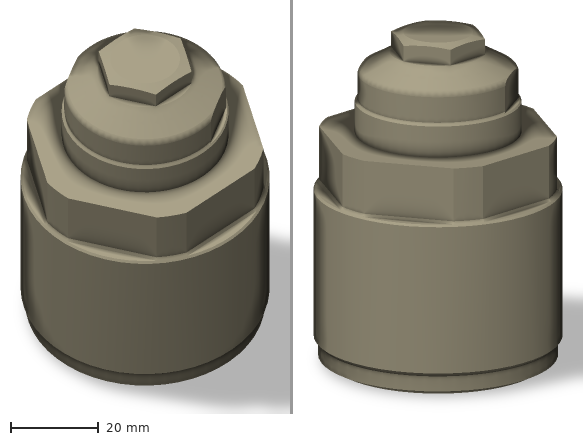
import cadquery as cq
import math

spigot_top = 1.3
collar_top = 5.0
nut_floor = 41.6
nut_base = 42.15
nut_top = 54.8
neck_top = 62.9
cap_flat_floor = 62.6
head_base = 74.2
total_height = 78.8

spigot_radius = 24.9
body_radius = 28.4
body_chamfer = 1.0
collar_radius = body_radius - body_chamfer
neck_radius = 19.1
neck_chamfer_height = 0.7
cap_radius = 18.4
cap_round = 1.6

nut_across_flats = 50.6
cap_across_flats = 35.0
head_across_flats = 19.2
head_face_radius = 7.95
head_chamfer_angle = 15
cone_angle = 30


def corner_radius(across_flats):
    return across_flats / math.sqrt(3)


def hexagon(across_flats, bottom):
    """Hexagon with corners on the X axis, placed at the given height."""
    return cq.Workplane("XY").workplane(offset=bottom).polygon(6, 2 * corner_radius(across_flats))


def turned(points):
    """Revolve a closed (radius, height) outline about the Z axis."""
    return cq.Workplane("XZ").polyline(points).close().revolve(360, (0, 0), (0, 1))


def disc(radius, bottom, top):
    return cq.Workplane("XY").workplane(offset=bottom).circle(radius).extrude(top - bottom)


def make_body_and_nut():
    """Stepped barrel and nut, with six flats that flare out at 45 degrees at their base."""
    body = turned([
        (0, 0),
        (spigot_radius, 0),
        (spigot_radius, spigot_top),
        (collar_radius, spigot_top),
        (collar_radius, collar_top),
        (body_radius, collar_top + body_chamfer),
        (body_radius, nut_base - body_chamfer),
        (collar_radius, nut_base),
        (collar_radius, nut_top),
        (0, nut_top),
    ])
    flare = nut_base - nut_floor
    hexagon_base = hexagon(nut_across_flats + 2 * flare, nut_floor).extrude(flare, taper=45)
    hexagon_block = hexagon(nut_across_flats, nut_base).extrude(nut_top - nut_base)
    flats = hexagon_block.union(hexagon_base)
    outside_flats = disc(2 * body_radius, nut_floor, nut_top).cut(flats)
    return body.cut(outside_flats)


def make_cap():
    """Neck and cone-topped cap, with two flats facing -X and +X."""
    cone_top_radius = corner_radius(head_across_flats)
    cone_height = (cap_radius - cone_top_radius) * math.tan(math.radians(cone_angle))
    shoulder = head_base - cone_height
    cap = turned([
        (0, cap_flat_floor),
        (cap_radius, cap_flat_floor),
        (cap_radius, shoulder),
        (cone_top_radius, head_base),
        (0, head_base),
    ])
    cap = cap.edges(cq.selectors.BoxSelector(
        (-neck_radius, -neck_radius, shoulder - 0.8),
        (neck_radius, neck_radius, shoulder + 0.8),
        boundingbox=True,
    )).fillet(cap_round)
    neck = turned([
        (0, nut_top),
        (neck_radius, nut_top),
        (neck_radius, neck_top - neck_chamfer_height),
        (cap_radius, neck_top),
        (0, neck_top),
    ])
    flats = (
        cq.Workplane("XY")
        .workplane(offset=cap_flat_floor)
        .rect(cap_across_flats, 2 * neck_radius)
        .extrude(head_base - cap_flat_floor)
    )
    below_flats = disc(neck_radius, nut_top, cap_flat_floor)
    return neck.union(cap).intersect(flats.union(below_flats))


def make_head():
    """Small hexagon with a conical chamfer around its round top face."""
    outer_radius = corner_radius(head_across_flats)
    drop = (outer_radius - head_face_radius) * math.tan(math.radians(head_chamfer_angle))
    turning_limit = turned([
        (0, head_base),
        (outer_radius, head_base),
        (outer_radius, total_height - drop),
        (head_face_radius, total_height),
        (0, total_height),
    ])
    return hexagon(head_across_flats, head_base).extrude(total_height - head_base).intersect(turning_limit)


result = make_body_and_nut().union(make_cap()).union(make_head())